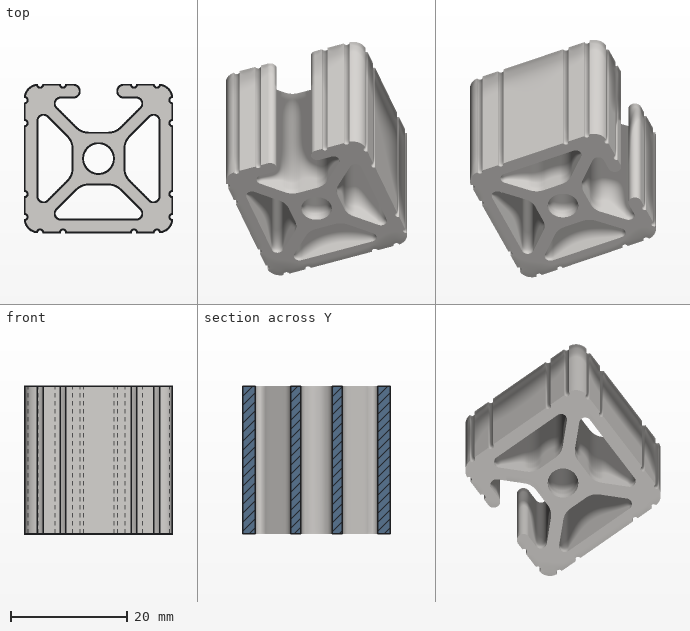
import cadquery as cq

SIDE = 25.4
LENGTH = 25.4
CORNER_RADIUS = 2.41
HALF = SIDE / 2

WALL = 2.24
CORE_HALF = 4.47
CORE_HOLE_DIAMETER = 5.25
WEB_OFFSET = 1.52
POCKET_TIP_RADIUS = 1.02
POCKET_CORE_RADIUS = 3.05

SLOT_WIDTH = 6.4
LIP_RADIUS = WALL / 2

GROOVE_RADIUS = 0.5
GROOVE_POSITIONS = (6.1, 10.03)


def make_body():
    """Square bar with rounded long edges, centred on the Z axis."""
    return cq.Workplane("XY").rect(SIDE, SIDE).extrude(LENGTH).edges("|Z").fillet(CORNER_RADIUS)


def make_pocket():
    """Trapezoidal channel between the core and the +Y wall."""
    wall_y = HALF - WALL
    core_x = CORE_HALF - WEB_OFFSET
    wall_x = wall_y - WEB_OFFSET
    pocket = (
        cq.Workplane("XY")
        .polyline([(-core_x, CORE_HALF), (core_x, CORE_HALF), (wall_x, wall_y), (-wall_x, wall_y)])
        .close()
        .extrude(LENGTH)
    )
    pocket = pocket.edges("|Z and <Y").fillet(POCKET_CORE_RADIUS)
    return pocket.edges("|Z and >Y").fillet(POCKET_TIP_RADIUS)


def make_slot():
    """Opening through the +Y wall that leaves a half-round end on each lip."""
    lip_center_x = SLOT_WIDTH / 2 + LIP_RADIUS
    lip_center_y = HALF - LIP_RADIUS
    slot = cq.Workplane("XY").center(0, lip_center_y).rect(2 * lip_center_x, WALL).extrude(LENGTH)
    lips = (
        cq.Workplane("XY")
        .pushPoints([(-lip_center_x, lip_center_y), (lip_center_x, lip_center_y)])
        .circle(LIP_RADIUS)
        .extrude(LENGTH)
    )
    return slot.cut(lips)


def make_face_grooves():
    """Half-round grooves on the +Y face, mirrored about its centreline."""
    centers = [(sign * x, HALF) for x in GROOVE_POSITIONS for sign in (-1, 1)]
    return cq.Workplane("XY").pushPoints(centers).circle(GROOVE_RADIUS).extrude(LENGTH)


result = make_body()
pocket = make_pocket()
grooves = make_face_grooves()
for angle in (0, 90, 180, 270):
    result = result.cut(pocket.rotate((0, 0, 0), (0, 0, 1), angle))
    result = result.cut(grooves.rotate((0, 0, 0), (0, 0, 1), angle))
result = result.cut(make_slot())
result = result.faces(">Z").workplane(origin=(0, 0, LENGTH)).hole(CORE_HOLE_DIAMETER)